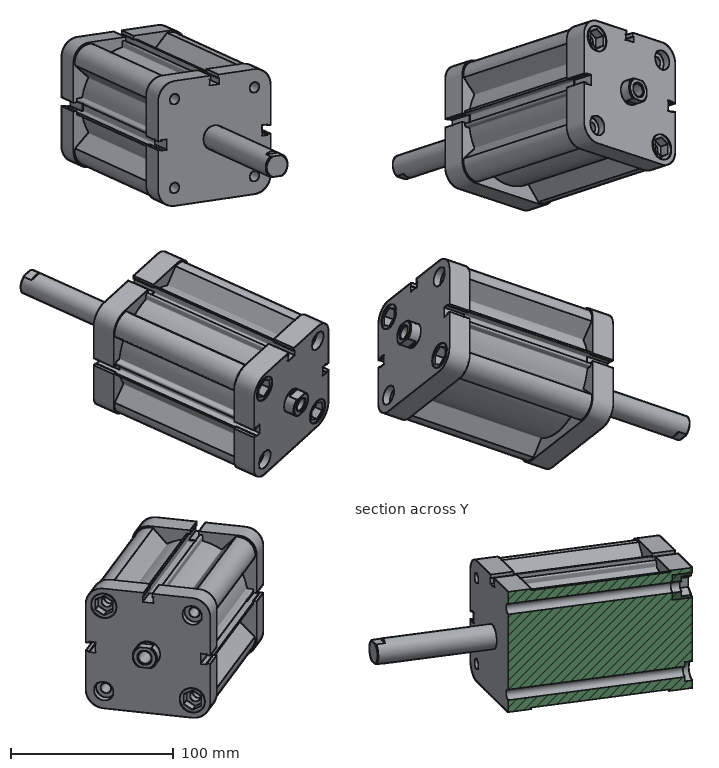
import cadquery as cq
import math

total_length = 206.0
cap_size = 79.5
cap_thickness = 15.0
cap_corner_radius = 11.5
housing_length = 120.5

barrel_lobe_radius = 10.5
barrel_tube_radius = 34.0
valley_top_half_width = 26.4
valley_floor_half_width = 17.5
tube_corner_fillet = 0.6

slot_mouth_width = 5.5
slot_width = 6.8
slot_mouth_depth = 2.5
slot_depth = 6.2
barrel_slot_floor_step = 0.6
rail_width = 10.5
rail_top = 37.5
rail_edge_radius = 1.0

corner_hole_offset = 28.2
corner_hole_diameter = 6.5
counterbore_diameter = 12.4
counterbore_depth = 5.0
screw_diameter = 16.0
screw_length = 12.4
screw_recess = 0.6
socket_across_flats = 11.1
socket_depth = 6.4

rod_diameter = 15.7
rod_stub_length = 7.6
rod_chamfer = 0.6
flat_spacing = 13.2
flat_length = 6.2
flat_runout = 0.5
thread_hole_diameter = 8.2
thread_hole_depth = 20.0
thread_chamfer = 0.6
drill_point_angle = 118.0

half_cap = cap_size / 2
barrel_length = housing_length - 2 * cap_thickness
slot_floor = half_cap - slot_depth
slot_angles = (0, 90, -90)
position_tolerance = 0.02
rod_radius = rod_diameter / 2
rod_start = -rod_stub_length
rod_end = rod_start + total_length
screw_corners = [(side * corner_hole_offset, side * corner_hole_offset) for side in (1, -1)]
open_corners = [(-side * corner_hole_offset, side * corner_hole_offset) for side in (1, -1)]


def section(x):
    """Cross-section plane at x: local x is +Y, local y is +Z, normal is +X."""
    return cq.Workplane("YZ", origin=(x, 0, 0))


def around_axis(shape, angles):
    """Copies of a shape made for the +Z side, turned about the X axis."""
    return [shape.rotate((0, 0, 0), (1, 0, 0), angle) for angle in angles]


def make_cap(x):
    cap = section(x).rect(cap_size, cap_size).extrude(cap_thickness)
    cap = cap.edges("|X").fillet(cap_corner_radius)
    mouth = section(x).center(0, half_cap).rect(slot_mouth_width, 2 * slot_mouth_depth).extrude(cap_thickness)
    undercut_height = slot_depth - slot_mouth_depth
    undercut = (
        section(x)
        .center(0, slot_floor + undercut_height / 2)
        .rect(slot_width, undercut_height)
        .extrude(cap_thickness)
    )
    for slot in around_axis(mouth.union(undercut), slot_angles):
        cap = cap.cut(slot)
    return cap


def turned(point, quarter):
    """A profile point turned by a number of quarter turns about the axis."""
    y, z = point
    for _ in range(quarter):
        y, z = -z, y
    return y, z


def make_barrel_body():
    """Round tube carrying four corner lobes, with a sloped valley between neighbouring lobes."""
    lobe_offset = half_cap - cap_corner_radius
    lobe_start_inset = lobe_offset - valley_top_half_width
    lobe_start_z = lobe_offset + math.sqrt(barrel_lobe_radius**2 - lobe_start_inset**2)
    lobe_middle = lobe_offset + barrel_lobe_radius * math.sqrt(0.5)
    valley_floor_z = math.sqrt(barrel_tube_radius**2 - valley_floor_half_width**2)

    outline = section(cap_thickness).moveTo(valley_floor_half_width, valley_floor_z)
    for quarter in range(4):
        outline = (
            outline.threePointArc(
                turned((0, barrel_tube_radius), quarter),
                turned((-valley_floor_half_width, valley_floor_z), quarter),
            )
            .lineTo(*turned((-valley_top_half_width, lobe_start_z), quarter))
            .threePointArc(
                turned((-lobe_middle, lobe_middle), quarter),
                turned((-lobe_start_z, valley_top_half_width), quarter),
            )
        )
        if quarter < 3:
            outline = outline.lineTo(*turned((-valley_floor_z, valley_floor_half_width), quarter))
    return outline.close().extrude(barrel_length)


def lies_on_tube(edge):
    """True for an edge at the tube radius, where a slope or a rail rises from the tube."""
    center = edge.Center()
    return abs(math.hypot(center.y, center.z) - barrel_tube_radius) < position_tolerance


def make_barrel():
    barrel_slot_floor = slot_floor - barrel_slot_floor_step
    rail = (
        section(cap_thickness)
        .center(0, (barrel_slot_floor + rail_top) / 2)
        .rect(rail_width, rail_top - barrel_slot_floor)
        .extrude(barrel_length)
        .edges("|X and >Z")
        .fillet(rail_edge_radius)
    )
    slot = (
        section(cap_thickness)
        .center(0, (barrel_slot_floor + half_cap) / 2)
        .rect(slot_width, half_cap - barrel_slot_floor)
        .extrude(barrel_length)
        .edges("|X and <Z")
        .fillet(barrel_slot_floor_step)
    )
    barrel = make_barrel_body()
    for added in around_axis(rail, slot_angles):
        barrel = barrel.union(added)
    barrel = barrel.edges("|X").filter(lies_on_tube).fillet(tube_corner_fillet)
    for cutter in around_axis(slot, slot_angles):
        barrel = barrel.cut(cutter)
    return barrel


def make_housing():
    """Both caps and the barrel, bored for the rod and the four corner holes."""
    housing = make_cap(0).union(make_barrel()).union(make_cap(housing_length - cap_thickness))
    housing = housing.cut(section(0).circle(rod_radius).extrude(housing_length))
    all_corners = screw_corners + open_corners
    housing = housing.cut(
        section(0).pushPoints(all_corners).circle(corner_hole_diameter / 2).extrude(housing_length)
    )
    housing = housing.cut(
        section(0).pushPoints(open_corners).circle(counterbore_diameter / 2).extrude(counterbore_depth)
    )
    return housing.cut(
        section(0).pushPoints(screw_corners).circle(screw_diameter / 2).extrude(screw_recess + screw_length)
    )


def make_screw(corner):
    """Screw sunk just below the -X cap face, with a hexagon socket and a through bore."""
    socket_across_corners = socket_across_flats / math.cos(math.radians(30))
    screw = section(screw_recess).center(*corner).circle(screw_diameter / 2).extrude(screw_length)
    bore = section(screw_recess).center(*corner).circle(corner_hole_diameter / 2).extrude(screw_length)
    socket = (
        section(screw_recess)
        .center(*corner)
        .transformed(rotate=(0, 0, 90))
        .polygon(6, socket_across_corners)
        .extrude(socket_depth)
    )
    return screw.cut(bore).cut(socket)


def make_rod():
    """Through rod with two wrench flats at each end and a drilled hole in the -X end."""
    rod = section(rod_start).circle(rod_radius).extrude(total_length).faces("<X or >X").chamfer(rod_chamfer)
    flat = flat_spacing / 2
    for end, inward in ((rod_start, 1), (rod_end, -1)):
        for side in (1, -1):
            cutter = (
                cq.Workplane("XZ")
                .moveTo(end, side * flat)
                .lineTo(end + inward * flat_length, side * flat)
                .lineTo(end + inward * (flat_length + flat_runout), side * rod_radius)
                .lineTo(end, side * rod_radius)
                .close()
                .extrude(rod_radius, both=True)
            )
            rod = rod.cut(cutter)
    hole_radius = thread_hole_diameter / 2
    point_length = hole_radius / math.tan(math.radians(drill_point_angle / 2))
    hole = (
        cq.Workplane("XY")
        .moveTo(rod_start, 0)
        .lineTo(rod_start, hole_radius + thread_chamfer)
        .lineTo(rod_start + thread_chamfer, hole_radius)
        .lineTo(rod_start + thread_hole_depth, hole_radius)
        .lineTo(rod_start + thread_hole_depth + point_length, 0)
        .close()
        .revolve(360, (rod_start, 0, 0), (rod_end, 0, 0))
    )
    return rod.cut(hole)


housing = make_housing()
rod = make_rod()
screws = [make_screw(corner) for corner in screw_corners]

result = cq.Compound.makeCompound([housing.val(), rod.val(), *[screw.val() for screw in screws]])